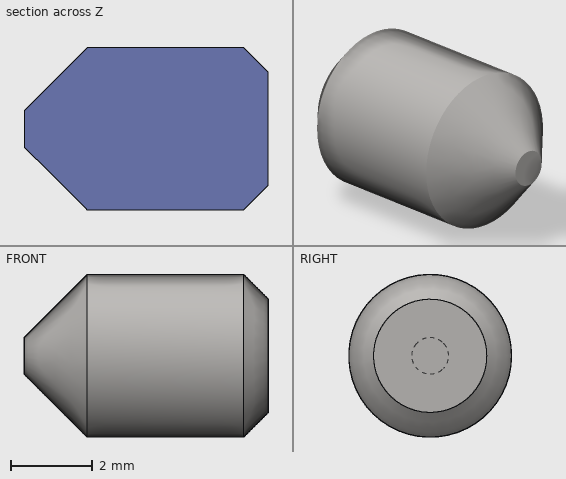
import cadquery as cq

body_diameter = 4.0
total_length = 6.0

tip_diameter = 0.9

end_chamfer = 0.61

body_radius = body_diameter / 2
tip_radius = tip_diameter / 2
point_length = body_radius - tip_radius


def make_body():
    """Cylinder along X, starting at the origin."""
    return cq.Workplane("YZ").circle(body_radius).extrude(total_length)


def cut_point(body):
    """Taper the -X end down to the flat tip."""
    return body.faces("<X").chamfer(point_length)


def cut_end_chamfer(body):
    """Bevel the rim of the flat +X end."""
    return body.faces(">X").chamfer(end_chamfer)


result = cut_end_chamfer(cut_point(make_body()))